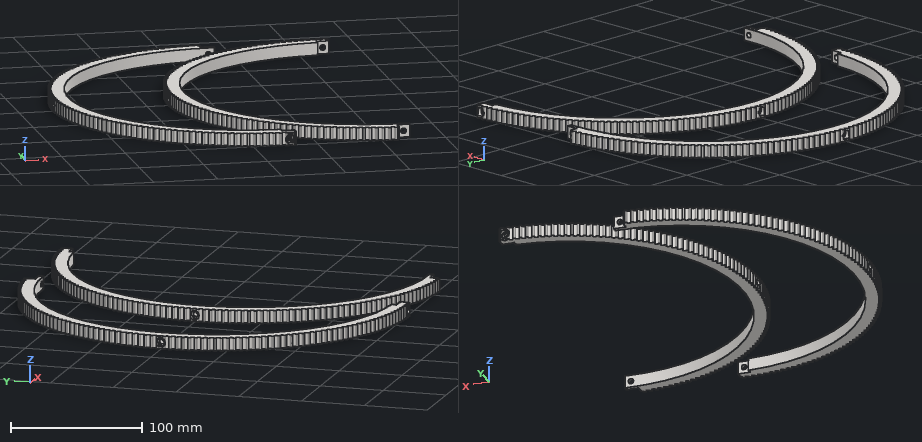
import cadquery as cq
import math

tip_radius = 152.2
inner_radius = 140.0
ring_height = 10.0
teeth_per_turn = 192

groove_depth = 2.07
groove_radius = 1.5
corner_radius = 0.43

lap_overhang = 5.0
lap_split = 143.7

screw_diameter = 4.0
head_diameter = 7.0
head_seat = 147.5

ring_spacing = 90.0

half_mouth = groove_radius + corner_radius
mouth_reach = math.sqrt(tip_radius**2 - half_mouth**2)
beyond = tip_radius + 3.0


def groove_point(angle, across, depth):
    """Point of the belt groove centred at the given angle; depth runs inward from its mouth."""
    reach = mouth_reach - depth
    return cq.Vector(
        reach * math.cos(angle) - across * math.sin(angle),
        reach * math.sin(angle) + across * math.cos(angle),
    )


def groove_edges(angle):
    """Rounded corner, wall, round bottom, wall and rounded corner of one belt groove."""
    wall_end = groove_depth - groove_radius
    corner_inset = corner_radius * (1 - math.sqrt(0.5))
    corner_middle = groove_radius + corner_inset

    def point(across, depth):
        return groove_point(angle, across, depth)

    return [
        cq.Edge.makeThreePointArc(
            point(-half_mouth, 0), point(-corner_middle, corner_inset), point(-groove_radius, corner_radius)
        ),
        cq.Edge.makeLine(point(-groove_radius, corner_radius), point(-groove_radius, wall_end)),
        cq.Edge.makeThreePointArc(
            point(-groove_radius, wall_end), point(0, groove_depth), point(groove_radius, wall_end)
        ),
        cq.Edge.makeLine(point(groove_radius, wall_end), point(groove_radius, corner_radius)),
        cq.Edge.makeThreePointArc(
            point(groove_radius, corner_radius), point(corner_middle, corner_inset), point(half_mouth, 0)
        ),
    ]


def toothed_ring():
    """Full ring with a belt groove centred on each axis and a tooth crest after each groove."""
    pitch = 2 * math.pi / teeth_per_turn
    edges = []
    for index in range(teeth_per_turn):
        angle = index * pitch
        crest = angle + pitch / 2
        edges += groove_edges(angle)
        edges.append(
            cq.Edge.makeThreePointArc(
                groove_point(angle, half_mouth, 0),
                cq.Vector(tip_radius * math.cos(crest), tip_radius * math.sin(crest)),
                groove_point(angle + pitch, -half_mouth, 0),
            )
        )
    outline = cq.Wire.assembleEdges(edges)
    bore = cq.Wire.makeCircle(inner_radius, cq.Vector(0, 0, 0), cq.Vector(0, 0, 1))
    return cq.Workplane(cq.Solid.extrudeLinear(outline, [bore], cq.Vector(0, 0, ring_height)))


def block(x_min, x_max, y_min, y_max):
    """Full-height block between the given X and Y limits."""
    return (
        cq.Workplane("XY")
        .box(x_max - x_min, y_max - y_min, ring_height, centered=False)
        .translate((x_min, y_min, 0))
    )


def radial_drill(diameter, start, direction):
    """Cylinder at mid height that runs outward from the given distance to past the teeth."""
    axis = cq.Vector(*direction)
    base = axis * start + cq.Vector(0, 0, ring_height / 2)
    return cq.Workplane(cq.Solid.makeCylinder(diameter / 2, beyond - start, base, axis))


def half_ring():
    """Half ring with its inner lap at +Y and its outer lap at -Y."""
    body = toothed_ring().intersect(block(-beyond, lap_overhang, -beyond, beyond))

    body = body.cut(block(-lap_overhang, beyond, lap_split, beyond))
    body = body.cut(block(-lap_overhang, beyond, -lap_split, 0))

    for direction in [(-1, 0, 0), (0, 1, 0), (0, -1, 0)]:
        body = body.cut(radial_drill(screw_diameter, 0, direction))

    for direction in [(-1, 0, 0), (0, -1, 0)]:
        body = body.cut(radial_drill(head_diameter, head_seat, direction))
    return body


left_half_ring = half_ring()
right_half_ring = half_ring().mirror("XZ").translate((ring_spacing, 0, 0))

result = cq.Compound.makeCompound([left_half_ring.val(), right_half_ring.val()])